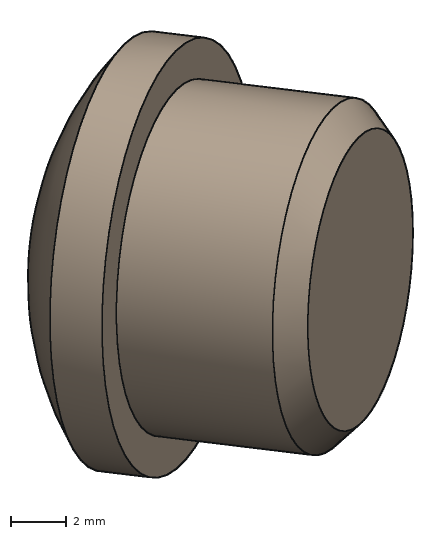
import cadquery as cq

total_length = 12.0
flange_diameter = 16.0
flange_thickness = 2.0
dome_height = 3.0
shank_diameter = 13.0
tip_chamfer = 1.0

flange_radius = flange_diameter / 2
shank_radius = shank_diameter / 2
shank_length = total_length - dome_height - flange_thickness

dome_radius = (flange_radius**2 + dome_height**2) / (2 * dome_height)
dome_apex_x = -flange_thickness - dome_height
dome_center_x = dome_apex_x + dome_radius

dome_mid_x = dome_apex_x + dome_height / 2
dome_mid_radius = (dome_radius**2 - (dome_center_x - dome_mid_x) ** 2) ** 0.5

half_section = (
    cq.Workplane("XY")
    .moveTo(dome_apex_x, 0)
    .threePointArc((dome_mid_x, dome_mid_radius), (-flange_thickness, flange_radius))
    .lineTo(0, flange_radius)
    .lineTo(0, shank_radius)
    .lineTo(shank_length - tip_chamfer, shank_radius)
    .lineTo(shank_length, shank_radius - tip_chamfer)
    .lineTo(shank_length, 0)
    .close()
)

result = half_section.revolve(360, (0, 0, 0), (1, 0, 0))